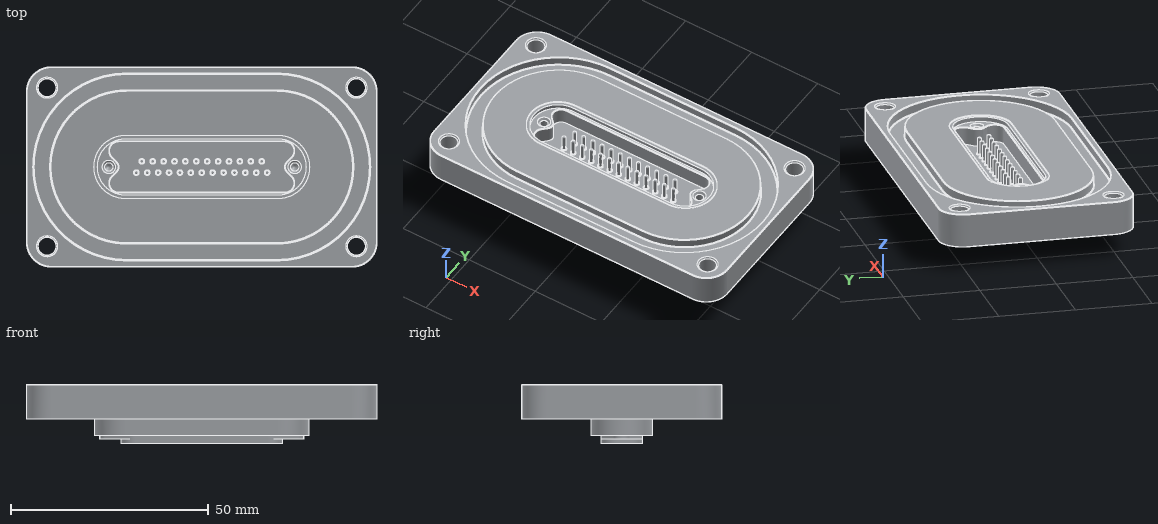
import cadquery as cq
import math

plate_length = 88.9
plate_width = 50.8
plate_thickness = 8.8
plate_corner_radius = 6.3
plate_chamfer = 0.2

mount_hole_diameter = 4.5
mount_hole_chamfer = 0.4
mount_hole_chamfer_angle = 90.0
mount_hole_spacing_x = 78.4
mount_hole_spacing_y = 40.2

groove_center_x = 19.0
groove_outer_radius = 23.65
groove_inner_radius = 19.4
groove_depth = 2.7
groove_chamfer = 0.2

body_center_x = 19.4
body_radius = 7.8
body_height = 4.2

rim_radius = 8.0
rim_depth = 0.3
opening_radius = 7.1
ledge_depth = 1.5

cavity_length = 46.8
cavity_width = 12.8
cavity_corner_radius = 2.3
cavity_depth = 6.1
cavity_chamfer = 0.2
cavity_notch_x = 21.0

screw_x = 23.6
screw_hole_diameter = 2.1
screw_hole_mouth_diameter = 3.4
screw_hole_depth = 4.45
drill_point_angle = 118.0

pin_diameter = 1.0
pin_height = 4.45
pin_tip_radius = 0.3
pin_collar_diameter = 1.4
pin_collar_height = 0.2
pin_row_spacing = 2.85
long_row_count = 13
long_row_length = 33.2
pin_pitch = long_row_length / (long_row_count - 1)

shell_height = 2.05
shell_width = 10.6
shell_corner_radius = 3.7
shell_wide_corner_x = 16.8
shell_side_angle = 10.0
flange_height = 0.9
flange_tip_radius = 2.3

plate_top = plate_thickness
body_bottom = -body_height
ledge_z = plate_top - ledge_depth
cavity_floor = plate_top - cavity_depth


def stadium(center_x, radius, bottom, height):
    """Solid with a straight-sided outline and round ends centred at +/-center_x."""
    return (
        cq.Workplane("XY", origin=(0, 0, bottom))
        .slot2D(2 * (center_x + radius), 2 * radius)
        .extrude(height)
    )


def flared_stadium(center_x, radius, bottom, flare):
    """Stadium that widens by flare on every side over a height of flare."""
    return (
        cq.Workplane("XY", origin=(0, 0, bottom))
        .slot2D(2 * (center_x + radius), 2 * radius)
        .extrude(flare, taper=-45)
    )


def make_plate():
    """Round-cornered plate, chamfered along its top edge, with four chamfered mounting holes."""
    plate = (
        cq.Workplane("XY")
        .rect(plate_length, plate_width)
        .extrude(plate_thickness)
        .edges("|Z")
        .fillet(plate_corner_radius)
        .faces(">Z")
        .edges()
        .chamfer(plate_chamfer)
    )
    return (
        plate.faces(">Z")
        .workplane()
        .rect(mount_hole_spacing_x, mount_hole_spacing_y, forConstruction=True)
        .vertices()
        .cskHole(
            mount_hole_diameter,
            mount_hole_diameter + 2 * mount_hole_chamfer,
            mount_hole_chamfer_angle,
        )
    )


def make_groove():
    """Stadium-shaped ring, chamfered inward at its floor and outward at its mouth."""
    bottom = plate_top - groove_depth
    mouth_z = plate_top - groove_chamfer
    outer = stadium(groove_center_x, groove_outer_radius, bottom, groove_depth)
    outer_mouth = flared_stadium(groove_center_x, groove_outer_radius, mouth_z, groove_chamfer)
    inner = stadium(groove_center_x, groove_inner_radius, bottom, groove_depth)
    inner = inner.faces(">Z").edges().chamfer(groove_chamfer)
    ring = outer.cut(inner).faces("<Z").edges().chamfer(groove_chamfer)
    return ring.union(outer_mouth.cut(inner))


def cavity_outline(bottom):
    """Closed rounded outline with a blunt 45 degree notch at each end around the screw."""
    half_length = cavity_length / 2
    half_width = cavity_width / 2
    corner_x = half_length - cavity_corner_radius
    corner_y = half_width - cavity_corner_radius
    slant = math.sqrt(0.5)
    corner_end_x = corner_x + cavity_corner_radius * slant
    corner_end_y = corner_y - cavity_corner_radius * slant
    slant_offset = corner_end_x - corner_end_y
    nose_radius = (cavity_notch_x - slant_offset) / (1 / slant - 1)
    nose_start_x = cavity_notch_x + nose_radius * (1 - slant)
    nose_start_y = nose_radius * slant
    corner_mid_x = corner_x + cavity_corner_radius * math.cos(math.pi / 8)
    corner_mid_y = corner_y + cavity_corner_radius * math.sin(math.pi / 8)
    return (
        cq.Workplane("XY", origin=(0, 0, bottom))
        .moveTo(0, half_width)
        .lineTo(corner_x, half_width)
        .threePointArc((corner_mid_x, corner_mid_y), (corner_end_x, corner_end_y))
        .lineTo(nose_start_x, nose_start_y)
        .threePointArc((cavity_notch_x, 0), (nose_start_x, -nose_start_y))
        .lineTo(corner_end_x, -corner_end_y)
        .threePointArc((corner_mid_x, -corner_mid_y), (corner_x, -half_width))
        .lineTo(0, -half_width)
        .mirrorY()
    )


def make_cavity():
    """Notched pocket with a chamfered mouth in the ledge."""
    pocket = cavity_outline(cavity_floor).extrude(ledge_z - cavity_floor)
    mouth = cavity_outline(ledge_z - cavity_chamfer).extrude(cavity_chamfer, taper=-45)
    return pocket.union(mouth)


def make_screw_hole(x):
    """Blind drilled hole with a 45 degree mouth and a conical bottom."""
    radius = screw_hole_diameter / 2
    mouth_radius = screw_hole_mouth_diameter / 2
    mouth_depth = mouth_radius - radius
    point_depth = radius / math.tan(math.radians(drill_point_angle / 2))
    return (
        cq.Workplane("XZ", origin=(x, 0, ledge_z))
        .moveTo(0, 0)
        .lineTo(mouth_radius, 0)
        .lineTo(radius, -mouth_depth)
        .lineTo(radius, -screw_hole_depth)
        .lineTo(0, -screw_hole_depth - point_depth)
        .close()
        .revolve(360, (0, 0, 0), (0, 1, 0))
    )


def make_pin_row(count, y):
    """Row of round-tipped pins standing on low collars, centred on x = 0."""
    start = -(count - 1) * pin_pitch / 2
    places = [(start + i * pin_pitch, y) for i in range(count)]
    floor = cq.Workplane("XY", origin=(0, 0, cavity_floor)).pushPoints(places)
    collars = floor.circle(pin_collar_diameter / 2).extrude(pin_collar_height)
    pins = floor.circle(pin_diameter / 2).extrude(pin_height)
    return pins.faces(">Z").edges().fillet(pin_tip_radius).union(collars)


def wrap_circles(circles, height):
    """Solid hanging below the body, outlined by a belt around (x, y, radius) circles.

    The circles run counter-clockwise; each belt span is an outer common tangent.
    """
    normals = []
    for i, (x, y, radius) in enumerate(circles):
        next_x, next_y, next_radius = circles[(i + 1) % len(circles)]
        distance = math.hypot(next_x - x, next_y - y)
        heading = math.atan2(next_y - y, next_x - x)
        normals.append(heading - math.pi / 2 + math.asin((radius - next_radius) / distance))

    def rim_point(circle, angle):
        x, y, radius = circle
        return (x + radius * math.cos(angle), y + radius * math.sin(angle))

    start = rim_point(circles[-1], normals[-1])
    outline = cq.Workplane("XY", origin=(0, 0, body_bottom)).moveTo(*start)
    for i, circle in enumerate(circles):
        arrive = normals[i - 1]
        turn = (normals[i] - arrive) % (2 * math.pi)
        outline = (
            outline.lineTo(*rim_point(circle, arrive))
            .threePointArc(rim_point(circle, arrive + turn / 2), rim_point(circle, normals[i]))
        )
    return outline.close().extrude(-height)


def make_shell():
    """D-shaped shell, wider on its -Y side, with a flange tapering to the screws."""
    corner_y = shell_width / 2 - shell_corner_radius
    narrow_corner_x = shell_wide_corner_x - 2 * corner_y * math.tan(math.radians(shell_side_angle))
    wide_left = (-shell_wide_corner_x, -corner_y, shell_corner_radius)
    wide_right = (shell_wide_corner_x, -corner_y, shell_corner_radius)
    narrow_right = (narrow_corner_x, corner_y, shell_corner_radius)
    narrow_left = (-narrow_corner_x, corner_y, shell_corner_radius)
    tip_right = (screw_x, 0, flange_tip_radius)
    tip_left = (-screw_x, 0, flange_tip_radius)
    shell = wrap_circles([wide_left, wide_right, narrow_right, narrow_left], shell_height)
    flange = wrap_circles(
        [wide_left, wide_right, tip_right, narrow_right, narrow_left, tip_left],
        flange_height,
    )
    return shell.union(flange)


result = (
    make_plate()
    .cut(make_groove())
    .union(stadium(body_center_x, body_radius, body_bottom, body_height))
    .cut(stadium(body_center_x, rim_radius, plate_top - rim_depth, rim_depth))
    .cut(stadium(body_center_x, opening_radius, ledge_z, ledge_depth))
    .cut(make_cavity())
    .cut(make_screw_hole(-screw_x))
    .cut(make_screw_hole(screw_x))
    .union(make_pin_row(long_row_count, -pin_row_spacing / 2))
    .union(make_pin_row(long_row_count - 1, pin_row_spacing / 2))
    .union(make_shell())
)